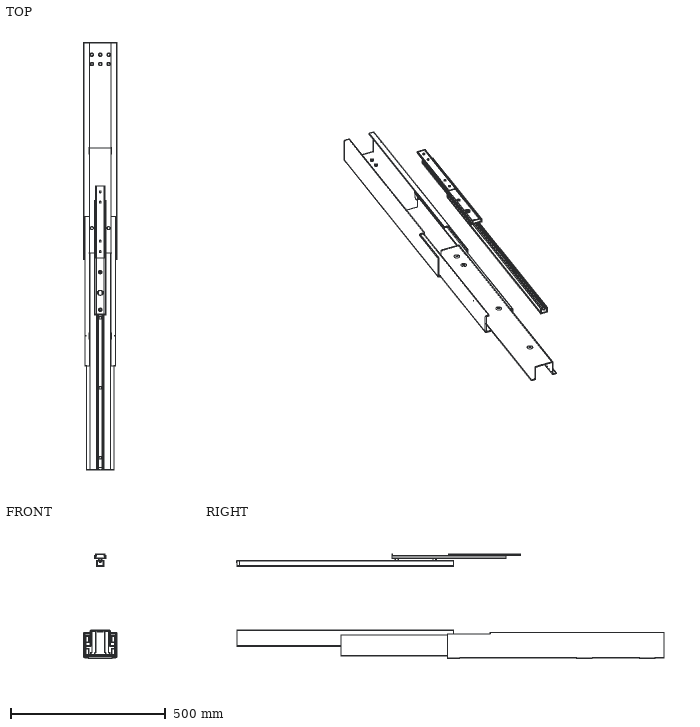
import cadquery as cq

channel_length = 700.0
travel = 340.0
bumper_reach = 1.35
inner_start = bumper_reach
outer_start = inner_start + 2 * travel
outer_end = outer_start + channel_length
middle_overhang = 4.0
middle_start = inner_start + travel - middle_overhang
middle_end = inner_start + travel + channel_length

sheet = 4.0
bend = 4.5
lip_opening = 71.0
outer_width = 108.0
outer_bottom = 2.5
outer_top = 84.5
middle_width = 99.0
middle_bottom = 8.5
middle_top = 76.0

lip_cut_length = 138.0
foot_length = 50.0
front_foot_length = 40.0
foot_centres = (1124.0, 1327.0)
foot_width = 76.0
mount_hole = 8.5
mount_counterbore = 11.05
counterbore_depth = 2.0
mount_pitch_x = 27.0
mount_pitch_y = 30.0

screw_hole = 9.5
screw_hole_y = 782.0
roller_diameter = 20.0
roller_width = 9.0
lower_roller_z = 22.5
upper_roller_z = 62.0
lower_roller_ys = (376.0,)
upper_roller_ys = (434.0, 1032.0)
stop_y = 690.0
stop_thickness = 4.0
stop_inner_x = 14.0
stop_outer_x = 27.0
stop_top = 87.5
stop_base_inner_x = 17.0
stop_base_outer_x = 31.0
stop_base_top = 19.5

inner_width = 66.0
inner_sheet = 3.0
inner_bend = 4.5
inner_top = 92.0
flange_bottom = 39.5
flange_span = 89.0
flange_bend = 2.5
inner_hole = 7.0
inner_hole_ys = (106.0, 339.0, 600.0, 652.0)
nut_diameter = 18.0
nut_height = 3.0

rail_length = 700.0
rail_width = 24.0
rail_bottom = 298.0
rail_top = 317.5
rail_wall = 2.5
rail_opening = 10.0
rail_hole = 8.5
rail_hole_ys = (40.0, 266.0, 492.0)
bumper_length = 8.0
bumper_bottom = 310.0
bumper_tip_diameter = 8.72

carrier_start = 502.0
carrier_end = 871.5
carrier_width = 38.0
carrier_bottom = 323.5
carrier_top = 333.0
carrier_wall = 2.0
carrier_opening = 25.0
carrier_access_hole = 16.0
carrier_access_y = 573.0
rivet_diameter = 11.05
rivet_hole = 5.1
rivet_ys = (518.0, 640.0)

strip_start = 685.0
strip_end = 918.0
strip_width = 30.0
strip_top = 337.0
strip_wall = 2.0
strip_bend = 3.0
strip_hole = 6.0
strip_hole_ys = (706.0, 740.0, 866.0, 899.0)


def bar(width, y_from, y_to, z_from, z_to, x_centre=0.0):
    """Rectangular bar between two Y and two Z limits."""
    block = cq.Workplane("XY").box(width, y_to - y_from, z_to - z_from, centered=(True, False, False))
    return block.translate((x_centre, y_from, z_from))


def post(diameter, x, y, z_from, z_to):
    """Upright cylinder."""
    return cq.Workplane("XY", origin=(x, y, z_from)).circle(diameter / 2).extrude(z_to - z_from)


def lipped_channel(width, y_from, y_to, bottom, top, wall, radius, opening):
    """Bent C channel, open upward between two inward lips."""
    tube = bar(width, y_from, y_to, bottom, top).edges("|Y").fillet(radius)
    hollow = bar(width - 2 * wall, y_from, y_to, bottom + wall, top - wall)
    if radius > wall:
        hollow = hollow.edges("|Y").fillet(radius - wall)
    return tube.cut(hollow).cut(bar(opening, y_from, y_to, top - wall, top))


def build_outer():
    body = lipped_channel(
        outer_width, outer_start, outer_end, outer_bottom, outer_top, sheet, bend, lip_opening
    )
    lip_cut_end = outer_start + lip_cut_length
    body = body.cut(bar(outer_width, outer_start, lip_cut_end, outer_top - bend, outer_top))
    pad_top = outer_bottom + sheet / 2
    body = body.union(bar(foot_width, outer_start, outer_start + front_foot_length, 0, pad_top))
    for centre in foot_centres:
        pad = bar(foot_width, centre - foot_length / 2, centre + foot_length / 2, 0, pad_top)
        body = body.union(pad)
    floor_top = outer_bottom + sheet
    rear_centre = foot_centres[-1]
    for x in (-mount_pitch_x, 0, mount_pitch_x):
        for y in (rear_centre - mount_pitch_y / 2, rear_centre + mount_pitch_y / 2):
            body = body.cut(post(mount_hole, x, y, 0, floor_top))
            body = body.cut(post(mount_counterbore, x, y, floor_top - counterbore_depth, floor_top))
    return body


def build_middle():
    body = lipped_channel(
        middle_width, middle_start, middle_end, middle_bottom, middle_top, sheet, bend, lip_opening
    )
    for side in (-1, 1):
        hole = post(screw_hole, side * mount_pitch_x, screw_hole_y, middle_bottom, middle_bottom + sheet)
        body = body.cut(hole)
    wall_x = middle_width / 2 - sheet / 2
    places = [(y, lower_roller_z) for y in lower_roller_ys]
    places += [(y, upper_roller_z) for y in upper_roller_ys]
    for y, z in places:
        roller = (
            cq.Workplane("YZ", origin=(wall_x, y, z))
            .circle(roller_diameter / 2)
            .extrude(-roller_width - sheet / 2)
        )
        body = body.union(roller).union(roller.mirror("YZ"))
    stop_end = stop_y + stop_thickness
    plate_width = stop_outer_x - stop_inner_x
    plate_centre = (stop_outer_x + stop_inner_x) / 2
    base_width = stop_base_outer_x - stop_base_inner_x
    base_centre = (stop_base_outer_x + stop_base_inner_x) / 2
    floor_level = middle_bottom + sheet / 2
    for side in (-1, 1):
        base = bar(base_width, stop_y, stop_end, floor_level, stop_base_top, side * base_centre)
        plate = bar(plate_width, stop_y, stop_end, stop_base_top, stop_top, side * plate_centre)
        body = body.union(base).union(plate)
    return body


def build_inner():
    half_wall = inner_width / 2
    half_flange = flange_span / 2
    flange_top = flange_bottom + inner_sheet
    right_half = [
        (half_wall, inner_top),
        (half_wall, flange_top),
        (half_flange, flange_top),
        (half_flange, flange_bottom),
        (half_wall - inner_sheet, flange_bottom),
        (half_wall - inner_sheet, inner_top - inner_sheet),
    ]
    left_half = [(-x, z) for x, z in reversed(right_half)]
    hat = (
        cq.Workplane("XZ", origin=(0, inner_start, 0))
        .polyline(right_half + left_half)
        .close()
        .extrude(-channel_length)
    )
    bends = (
        (half_wall, inner_top, inner_bend),
        (half_wall - inner_sheet, inner_top - inner_sheet, inner_bend - inner_sheet),
        (half_wall, flange_top, flange_bend),
        (half_wall - inner_sheet, flange_bottom, flange_bend),
    )
    mid_y = inner_start + channel_length / 2
    for x, z, radius in bends:
        for side in (-1, 1):
            hat = hat.edges(cq.NearestToPointSelector((side * x, mid_y, z))).fillet(radius)
    web_bottom = inner_top - inner_sheet
    for y in inner_hole_ys:
        hat = hat.union(post(nut_diameter, 0, y, web_bottom - nut_height, web_bottom + inner_sheet / 2))
        hat = hat.cut(post(inner_hole, 0, y, web_bottom - nut_height, inner_top))
    return hat


def build_rail():
    rail_end = inner_start + rail_length
    body = lipped_channel(
        rail_width, inner_start, rail_end, rail_bottom, rail_top, rail_wall, rail_wall / 2, rail_opening
    )
    for y in rail_hole_ys:
        body = body.cut(post(rail_hole, 0, y, rail_bottom, rail_bottom + rail_wall))
    return body


def build_bumper():
    """Plug under the rail's lips at its front end, with a round nose that stands out."""
    top = rail_top - rail_wall
    plug = bar(
        rail_width - 2 * rail_wall, inner_start, inner_start + bumper_length, rail_bottom + rail_wall, top
    )
    nose = post(bumper_tip_diameter, 0, bumper_tip_diameter / 2, bumper_bottom, top)
    return plug.union(nose)


def build_carrier():
    body = lipped_channel(
        carrier_width, carrier_start, carrier_end, carrier_bottom, carrier_top,
        carrier_wall, carrier_wall / 2, carrier_opening,
    )
    body = body.union(
        bar(strip_width, carrier_start, carrier_start + carrier_wall, carrier_bottom, strip_top)
    )
    floor_top = carrier_bottom + carrier_wall
    body = body.cut(post(carrier_access_hole, 0, carrier_access_y, carrier_bottom, floor_top))
    for y in rivet_ys:
        body = body.union(post(rivet_diameter, 0, y, rail_top, floor_top))
        body = body.cut(post(rivet_hole, 0, y, rail_top, floor_top))
    return body


def build_strip():
    """Shallow downward U that rests on the carrier's lips."""
    body = bar(strip_width, strip_start, strip_end, carrier_top, strip_top)
    body = body.edges("|Y and >Z").fillet(strip_bend)
    hollow_width = carrier_opening - strip_wall
    body = body.cut(bar(hollow_width, strip_start, strip_end, carrier_top, strip_top - strip_wall))
    for y in strip_hole_ys:
        body = body.cut(post(strip_hole, 0, y, carrier_top, strip_top))
    return body


outer_channel = build_outer()
middle_channel = build_middle()
inner_channel = build_inner()
rail = build_rail()
bumper = build_bumper()
carrier = build_carrier()
strip = build_strip()

bodies = (outer_channel, middle_channel, inner_channel, rail, bumper, carrier, strip)

result = cq.Compound.makeCompound([body.solids().val() for body in bodies])